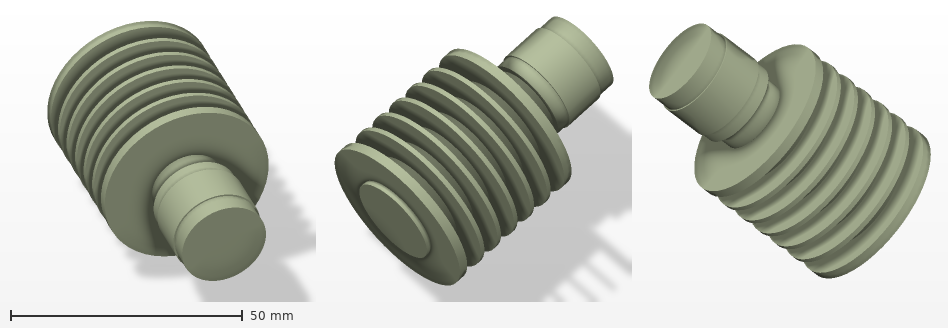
import cadquery as cq


flange_diameter = 38.0
core_diameter = 23.4
cap_diameter = 20.5
cap_length = 1.3
flange_length = 2.25
fin_count = 5
fin_thickness = 1.1
fin_pitch = 5.1
end_gap = 4.2

first_fin_start = cap_length + flange_length + end_gap
last_fin_end = first_fin_start + (fin_count - 1) * fin_pitch + fin_thickness
end_flange_start = last_fin_end + end_gap
heat_sink_end = end_flange_start + flange_length

total_length = 58.0
neck_diameter = 14.75
neck_length = 0.5
collar_diameter = 16.5
collar_length = 4.75
shell_diameter = 19.4
grip_diameter = 20.2
grip_length = 9.45
shell_front_length = 4.35

neck_end = heat_sink_end + neck_length
collar_end = neck_end + collar_length
grip_end = total_length - shell_front_length
grip_start = grip_end - grip_length


def cylinder_between(start, end, diameter):
    """Solid cylinder on the X axis from X = start to X = end."""
    return cq.Workplane("YZ", origin=(start, 0, 0)).circle(diameter / 2).extrude(end - start)


def make_heat_sink():
    """Round core with an end cap, two thick flanges and evenly spaced thin fins."""
    sink = cylinder_between(cap_length, heat_sink_end, core_diameter)
    sink = sink.union(cylinder_between(0, cap_length, cap_diameter))
    for start in (cap_length, end_flange_start):
        sink = sink.union(cylinder_between(start, start + flange_length, flange_diameter))
    for index in range(fin_count):
        start = first_fin_start + index * fin_pitch
        sink = sink.union(cylinder_between(start, start + fin_thickness, flange_diameter))
    return sink


def make_connector():
    """Stepped connector seated on the end flange: neck, collar, and shell with a raised grip."""
    connector = cylinder_between(heat_sink_end, neck_end, neck_diameter)
    connector = connector.union(cylinder_between(neck_end, collar_end, collar_diameter))
    connector = connector.union(cylinder_between(collar_end, total_length, shell_diameter))
    return connector.union(cylinder_between(grip_start, grip_end, grip_diameter))


heat_sink = make_heat_sink()
connector = make_connector()
result = cq.Compound.makeCompound([heat_sink.val(), connector.val()])